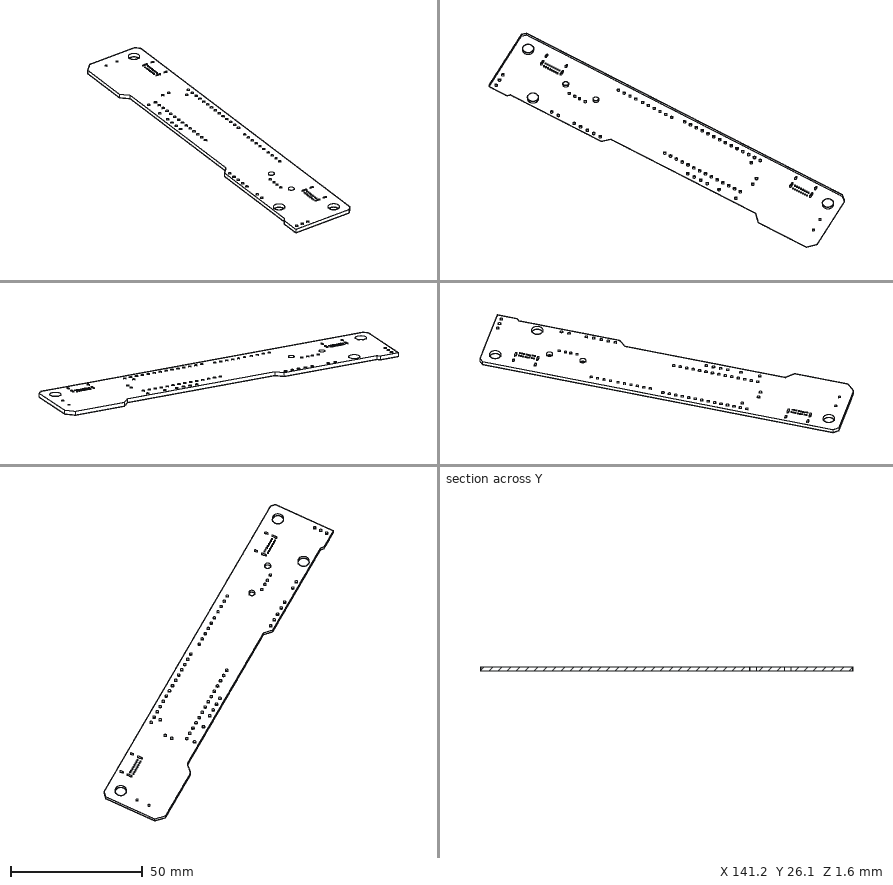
import cadquery as cq

LENGTH = 141.17
WIDTH = 26.06
THICKNESS = 1.6

TOP_LEFT_CHAMFER_X = 1.8
TOP_LEFT_CHAMFER_Y = 1.6
TOP_RIGHT_CHAMFER_X = 1.5
TOP_RIGHT_CHAMFER_Y = 1.4
LEFT_TAB_BOTTOM = 0.57
LEFT_CHAMFER = 3.0
LEFT_TAB_END = 24.0
RECESS_BOTTOM = 3.5
RECESS_START = 26.9
RECESS_END = 90.0
RIGHT_TAB_START = 92.7
RIGHT_TAB_BOTTOM = 0.95
FOOT_START = 132.4
FOOT_CHAMFER = RIGHT_TAB_BOTTOM

MOUNT_DIAMETER = 4.3
MOUNT_CENTERS = [(5.0, 20.6), (136.15, 21.05), (124.33, 4.06)]

PITCH = 2.54
PIN_DIAMETER = 1.0
TOP_ROW_PIN_DIAMETER = 0.9
MODULE_PIN_COUNT = 14
MODULE_ROW_SPACING = 6 * PITCH
MODULE_X = 36.36
MODULE_BOTTOM_Y = 8.58
EXTRA_PIN_X = MODULE_X + PITCH
EXTRA_PIN_Y = MODULE_BOTTOM_Y + 5 * PITCH
PAIR_X = MODULE_X - PITCH
PAIR_Y = 13.7
PAIR_PITCH = 2.75
PAIR_COUNT = 2
LONG_ROW_COUNT = 6
LONG_ROW_X = 74.58
SHORT_ROW_COUNT = 4
SHORT_ROW_X = 90.26
TOP_ROW_Y = 23.0
EDGE_PIN_COUNT = 3
EDGE_X = 139.12
EDGE_Y = 1.82
LEFT_PIN_DIAMETER = 0.8
LEFT_PIN_X = 4.3
LEFT_PIN_Y = 8.22
LEFT_PIN_SPACING = 2 * PITCH

SOCKET_PIN_DIAMETER = 1.0
SOCKET_A_Y = 5.33
SOCKET_A_XS = [36.45, 43.82, 49.0, 51.85, 54.65, 57.5]
SOCKET_B_Y = 2.43
SOCKET_B_XS = [94.05, 96.88, 99.62, 102.62, 105.45, 112.28, 115.27]

USB_A_X = 109.85
USB_A_Y = 12.55
USB_A_PIN_DIAMETER = 0.92
USB_A_PIN_OFFSETS = [-3.5, -1.0, 1.0, 3.5]
USB_A_PEG_DIAMETER = 2.3
USB_A_PEG_SPACING = 13.14
USB_A_PEG_RISE = 2.71

USB_C_CENTERS = [(16.65, 19.68), (124.4, 17.78)]
USB_C_CONTACT_DIAMETER = 0.4
USB_C_CONTACT_COUNT = 8
USB_C_CONTACT_PITCH = 0.85
USB_C_ROW_SPACING = 1.35
USB_C_SLOT_SPACING = 8.65
USB_C_SLOT_WIDTH = 0.6
ALONG_Y = 90
USB_C_LONG_SLOT_LENGTH = 2.1
USB_C_LONG_SLOT_RISE = 0.98
USB_C_SHORT_SLOT_LENGTH = 1.4
USB_C_SHORT_SLOT_RISE = 4.36


def row_x(x, y, count, pitch):
    """Points of a row that runs along X from (x, y)."""
    return [(x + i * pitch, y) for i in range(count)]


def row_y(x, y, count, pitch):
    """Points of a row that runs along Y from (x, y)."""
    return [(x, y + i * pitch) for i in range(count)]


def make_board():
    """The blank board with its chamfered corners, tabs and foot."""
    outline = [
        (0, LEFT_TAB_BOTTOM + LEFT_CHAMFER),
        (LEFT_CHAMFER, LEFT_TAB_BOTTOM),
        (LEFT_TAB_END, LEFT_TAB_BOTTOM),
        (RECESS_START, RECESS_BOTTOM),
        (RECESS_END, RECESS_BOTTOM),
        (RIGHT_TAB_START, RIGHT_TAB_BOTTOM),
        (FOOT_START, RIGHT_TAB_BOTTOM),
        (FOOT_START + FOOT_CHAMFER, 0),
        (LENGTH, 0),
        (LENGTH, WIDTH - TOP_RIGHT_CHAMFER_Y),
        (LENGTH - TOP_RIGHT_CHAMFER_X, WIDTH),
        (TOP_LEFT_CHAMFER_X, WIDTH),
        (0, WIDTH - TOP_LEFT_CHAMFER_Y),
    ]
    return cq.Workplane("XY").polyline(outline).close().extrude(THICKNESS)


def drill(board, points, diameter):
    """Cut round through holes at the points."""
    cutter = cq.Workplane("XY").pushPoints(points).circle(diameter / 2).extrude(THICKNESS)
    return board.cut(cutter)


def mill_slots(board, points, length):
    """Cut round-ended through slots that run along Y."""
    slots = cq.Workplane("XY").pushPoints(points).slot2D(length, USB_C_SLOT_WIDTH, ALONG_Y)
    cutter = slots.extrude(THICKNESS)
    return board.cut(cutter)


def cut_headers(board):
    pins = row_x(MODULE_X, MODULE_BOTTOM_Y, MODULE_PIN_COUNT, PITCH)
    pins += row_x(MODULE_X, MODULE_BOTTOM_Y + MODULE_ROW_SPACING, MODULE_PIN_COUNT, PITCH)
    pins.append((EXTRA_PIN_X, EXTRA_PIN_Y))
    pins += row_y(PAIR_X, PAIR_Y, PAIR_COUNT, PAIR_PITCH)
    pins += row_y(EDGE_X, EDGE_Y, EDGE_PIN_COUNT, PITCH)
    board = drill(board, pins, PIN_DIAMETER)

    top_row = row_x(LONG_ROW_X, TOP_ROW_Y, LONG_ROW_COUNT, PITCH)
    top_row += row_x(SHORT_ROW_X, TOP_ROW_Y, SHORT_ROW_COUNT, PITCH)
    board = drill(board, top_row, TOP_ROW_PIN_DIAMETER)

    left_pins = row_y(LEFT_PIN_X, LEFT_PIN_Y, PAIR_COUNT, LEFT_PIN_SPACING)
    return drill(board, left_pins, LEFT_PIN_DIAMETER)


def cut_sockets(board):
    pins = [(x, SOCKET_A_Y) for x in SOCKET_A_XS]
    pins += [(x, SOCKET_B_Y) for x in SOCKET_B_XS]
    return drill(board, pins, SOCKET_PIN_DIAMETER)


def cut_usb_a(board):
    pins = [(USB_A_X + offset, USB_A_Y) for offset in USB_A_PIN_OFFSETS]
    pegs = row_x(USB_A_X - USB_A_PEG_SPACING / 2, USB_A_Y + USB_A_PEG_RISE, 2, USB_A_PEG_SPACING)
    board = drill(board, pins, USB_A_PIN_DIAMETER)
    return drill(board, pegs, USB_A_PEG_DIAMETER)


def cut_usb_c(board, x, y):
    first_x = x - (USB_C_CONTACT_COUNT - 1) * USB_C_CONTACT_PITCH / 2
    contacts = row_x(first_x, y, USB_C_CONTACT_COUNT, USB_C_CONTACT_PITCH)
    contacts += row_x(first_x, y + USB_C_ROW_SPACING, USB_C_CONTACT_COUNT, USB_C_CONTACT_PITCH)
    board = drill(board, contacts, USB_C_CONTACT_DIAMETER)

    slot_x = x - USB_C_SLOT_SPACING / 2
    long_slots = row_x(slot_x, y + USB_C_LONG_SLOT_RISE, 2, USB_C_SLOT_SPACING)
    short_slots = row_x(slot_x, y + USB_C_SHORT_SLOT_RISE, 2, USB_C_SLOT_SPACING)
    board = mill_slots(board, long_slots, USB_C_LONG_SLOT_LENGTH)
    return mill_slots(board, short_slots, USB_C_SHORT_SLOT_LENGTH)


result = make_board()
result = drill(result, MOUNT_CENTERS, MOUNT_DIAMETER)
result = cut_headers(result)
result = cut_sockets(result)
result = cut_usb_a(result)
for center_x, center_y in USB_C_CENTERS:
    result = cut_usb_c(result, center_x, center_y)